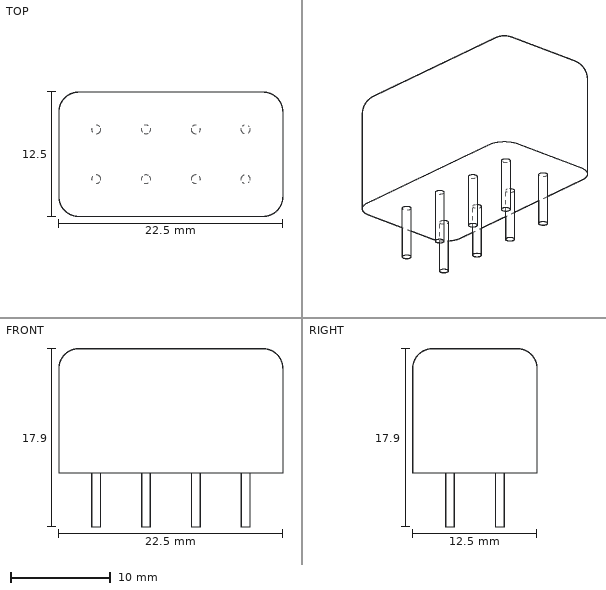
import cadquery as cq

body_length = 22.5
body_width = 12.5
body_height = 12.5
edge_radius = 2.02

pin_diameter = 0.9
pin_length = 5.4
pin_pitch = 5.0
pins_per_row = 4
row_count = 2


def make_body():
    """Block with rounded upright and top edges and a sharp, flat underside."""
    block = cq.Workplane("XY").box(body_length, body_width, body_height, centered=(True, True, False))
    return block.edges("|Z or >Z").fillet(edge_radius)


def make_pins():
    """Grid of pins centred under the housing, hanging from its underside."""
    return (
        cq.Workplane("XY")
        .rarray(pin_pitch, pin_pitch, pins_per_row, row_count)
        .circle(pin_diameter / 2)
        .extrude(-pin_length)
    )


result = make_body().union(make_pins())